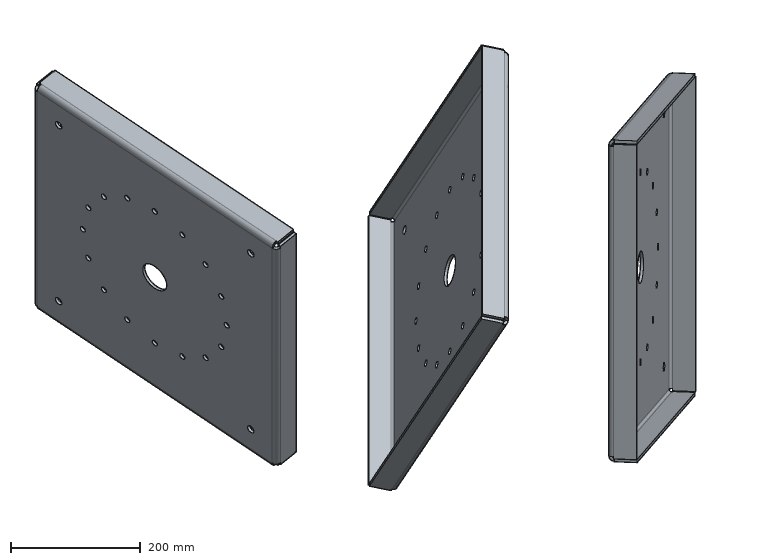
import cadquery as cq

side = 508.0
depth = 45.0
thickness = 5.0
bend_radius = 9.0
flange_inset = 5.5

center_hole_diameter = 50.0
ring_hole_diameter = 10.0
ring_radius = 150.0
ring_hole_count = 16
mount_hole_diameter = 13.0
mount_hole_spacing = 400.5

half_side = side / 2
plate_side = side - 2 * bend_radius
flange_length = side - 2 * flange_inset
inner_radius = bend_radius - thickness


def make_plate():
    """Flat plate between the bends, with its front face at Y = 0."""
    return cq.Workplane("XY").box(plate_side, thickness, plate_side, centered=(True, False, True))


def make_bend():
    """Quarter-round bend along the top edge, as long as the plate."""
    center_z = half_side - bend_radius
    mid_factor = 0.5 ** 0.5
    return (
        cq.Workplane("YZ")
        .moveTo(0, center_z)
        .threePointArc(
            (bend_radius * (1 - mid_factor), center_z + bend_radius * mid_factor),
            (bend_radius, half_side),
        )
        .lineTo(bend_radius, half_side - thickness)
        .threePointArc(
            (bend_radius - inner_radius * mid_factor, center_z + inner_radius * mid_factor),
            (thickness, center_z),
        )
        .close()
        .extrude(plate_side / 2, both=True)
    )


def make_flange():
    """Straight top flange, which reaches past both ends of its bend."""
    return (
        cq.Workplane("XY")
        .box(flange_length, depth - bend_radius, thickness, centered=(True, False, False))
        .translate((0, bend_radius, half_side - thickness))
    )


def make_hole_cutters():
    """Cylinders for the center hole, the ring of holes and the corner mounting holes."""
    base = cq.Workplane("XZ")
    center = base.circle(center_hole_diameter / 2).extrude(-thickness)
    ring = (
        base.polarArray(ring_radius, 0, 360, ring_hole_count)
        .circle(ring_hole_diameter / 2)
        .extrude(-thickness)
    )
    mounts = (
        base.rect(mount_hole_spacing, mount_hole_spacing, forConstruction=True)
        .vertices()
        .circle(mount_hole_diameter / 2)
        .extrude(-thickness)
    )
    return center.add(ring).add(mounts).combine()


bent_edge = make_bend().union(make_flange())
tray = make_plate()
for angle in (0, 90, 180, 270):
    tray = tray.union(bent_edge.rotate((0, 0, 0), (0, 1, 0), angle))

result = tray.cut(make_hole_cutters())